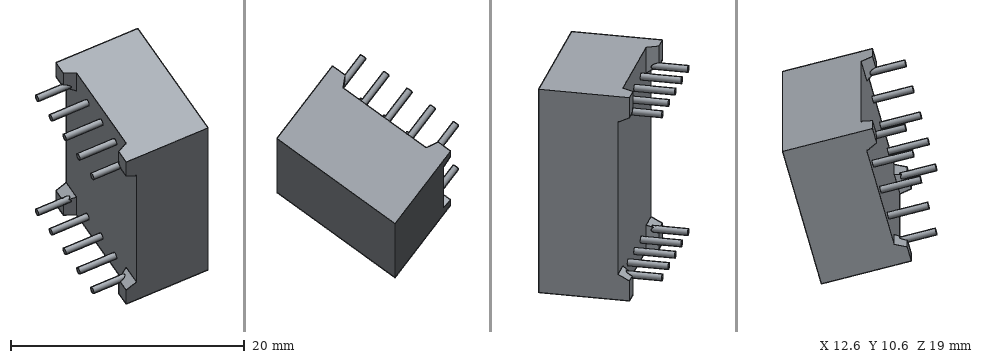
import cadquery as cq

width = 12.6
total_depth = 10.55
height = 19.0

pin_length_past_feet = 2.56
foot_height = 1.0
foot_base_width = 1.86
foot_tip_width = 1.35
foot_base_length = 2.4
foot_tip_length = 1.88

pin_diameter = 0.6
pin_pitch = 2.47
pins_per_row = 5
row_spacing = 15.24

foot_face_y = pin_length_past_feet - total_depth
pin_face_y = foot_face_y + foot_height
pin_embedment = foot_height


def make_block():
    """Plain rectangular block, centred in X and Z."""
    return cq.Workplane("XY").box(width, -pin_face_y, height).translate((0, pin_face_y / 2, 0))


def make_foot(side_x, side_z):
    """Corner foot: flush with the outer sides, tapering on its two inner sides."""
    corner_x = side_x * width / 2
    corner_z = side_z * height / 2

    def section(plane, size_x, size_z):
        return plane.moveTo(corner_x, corner_z).lineTo(corner_x - side_x * size_x, corner_z).lineTo(
            corner_x - side_x * size_x, corner_z - side_z * size_z
        ).lineTo(corner_x, corner_z - side_z * size_z).close()

    base = cq.Workplane("XZ", origin=(0, pin_face_y, 0))
    base = section(base, foot_base_width, foot_base_length)
    tip = section(base.workplane(offset=foot_height), foot_tip_width, foot_tip_length)
    return tip.loft(ruled=True, combine=True)


def make_pins():
    """Both rows of pins, rooted inside the block."""
    return (
        cq.Workplane("XZ", origin=(0, pin_face_y + pin_embedment, 0))
        .rarray(pin_pitch, row_spacing, pins_per_row, 2)
        .circle(pin_diameter / 2)
        .extrude(pin_embedment + foot_height + pin_length_past_feet)
    )


result = make_block()
for side_x in (-1, 1):
    for side_z in (-1, 1):
        result = result.union(make_foot(side_x, side_z))
result = result.union(make_pins())